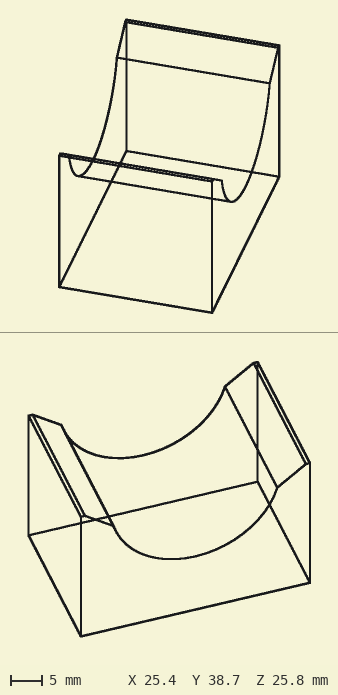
import cadquery as cq

width = 25.4
length = 38.7
height = 25.82

cradle_floor = 11.5
mouth_width = 27.65
mouth_drop = 3.65
rim_width = 0.7

mouth_half = mouth_width / 2
mouth_height = height - mouth_drop
flare_half = length / 2 - rim_width

block = cq.Workplane("XY").box(width, length, height, centered=(True, True, False))

cradle_cut = (
    cq.Workplane("YZ")
    .moveTo(-flare_half, height)
    .lineTo(-mouth_half, mouth_height)
    .threePointArc((0, cradle_floor), (mouth_half, mouth_height))
    .lineTo(flare_half, height)
    .close()
    .extrude(width / 2, both=True)
)

result = block.cut(cradle_cut)